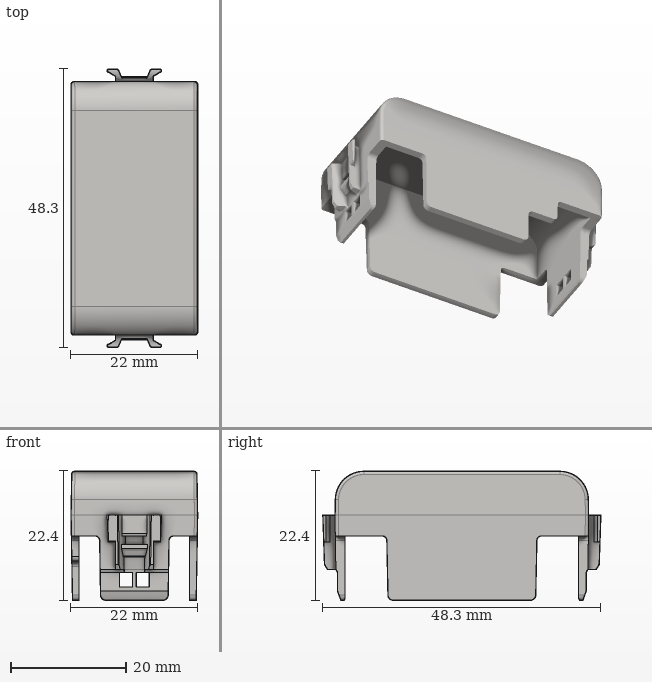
import cadquery as cq
import math

total_height = 22.4
part_length = 48.25
parting_width = 22.0
parting_length = 44.0
parting_z = 14.75
draft_angle = 1.0
end_round = 4.95
edge_round = 0.6

cavity_half_width = 9.55
cavity_half_length = 20.2
roof_thickness = 1.45
cavity_end_round = end_round - roof_thickness

skirt_z = 11.15
root_round = 0.75
tip_round = 0.95
end_leg_root = 6.05
end_leg_tip = 5.9
side_leg_root = 13.05
side_leg_tip = 12.85

notch_y = -7.3
notch_z = 6.85
notch_corner_round = 0.7

step_top_z = 5.3
step_bottom_z = 4.82
low_face_y = 21.55
tip_bevel_z = 1.6
tip_bevel_y = 21.0
tip_inner_bevel = 0.2
tip_inner_bevel_z = 0.4
window_inner_x = 0.35
window_outer_x = 2.55
window_bottom_z = 2.3

clip_front_y = part_length / 2
clip_root_y = 20.75
stem_half = 3.3
stem_shoulder_y = 22.85
wing_half = 4.75
wing_foot_half = 4.55
wing_end_thickness = 0.6
wing_bottom_z = 10.1
wing_bevel = 0.25
stem_foot_y = 23.85
stem_bevel_z = 6.22
stem_toe_y = 23.25

channel_mouth_half = 2.8
mouth_bevel = 0.15
channel_slope = 0.41
pocket_y = 21.05
web_y = 22.6
web_foot_y = 22.45
web_bottom_z = 11.65
web_lip_z = 11.2
shelf_y = 22.8
shelf_top_z = 9.65
shelf_bottom_z = 9.0
shelf_slope_y = 22.6
shelf_slope_z = 8.75
shelf_root_y = 22.0
shelf_root_z = 7.65
low_web_y = 21.7
low_web_z = 7.55

margin = 2.4


def extrude_along_x(outline, x_min, x_max):
    """Extrude (y, z) points between two X positions."""
    return cq.Workplane("YZ", origin=(x_min, 0, 0)).polyline(outline).close().extrude(x_max - x_min)


def box_between(low, high):
    size = [b - a for a, b in zip(low, high)]
    return cq.Workplane("XY").box(*size, centered=False).translate(low)


def leg_prism(plane, root_half, tip_half, depth):
    """Tapered leg with flared roots and rounded tips, centred on the plane."""
    return (
        cq.Workplane(plane)
        .moveTo(0, skirt_z)
        .lineTo(root_half + root_round, skirt_z)
        .radiusArc((root_half, skirt_z - root_round), -root_round)
        .lineTo(tip_half, tip_round)
        .radiusArc((tip_half - tip_round, 0), tip_round)
        .lineTo(0, 0)
        .mirrorY()
        .extrude(depth / 2, both=True)
    )


def make_body():
    parting = cq.Workplane("XY", origin=(0, 0, parting_z))
    cover = parting.rect(parting_width, parting_length)
    cover = cover.extrude(total_height - parting_z, taper=draft_angle)
    cover = cover.faces(">Z").edges("|X").fillet(end_round)
    cover = cover.edges("not(|X or <Z)").fillet(edge_round)
    lower = parting.rect(parting_width, parting_length).extrude(-parting_z, taper=draft_angle)
    lower = lower.edges("not(#Z)").fillet(edge_round)
    return cover.union(lower)


def make_cavity():
    cavity = box_between(
        (-cavity_half_width, -cavity_half_length, -margin),
        (cavity_half_width, cavity_half_length, total_height - roof_thickness),
    )
    return cavity.faces(">Z").edges("|X").fillet(cavity_end_round)


def make_leg_clearance():
    """Everything below the skirt except the four legs."""
    below_skirt = box_between(
        (-parting_width, -parting_length, -margin), (parting_width, parting_length, skirt_z)
    )
    end_legs = leg_prism("XZ", end_leg_root, end_leg_tip, 2 * parting_length)
    side_legs = leg_prism("YZ", side_leg_root, side_leg_tip, 2 * parting_width)
    return below_skirt.cut(end_legs).cut(side_legs)


def make_notch():
    leg_edge_y = -side_leg_root + (side_leg_root - side_leg_tip) * (1 - notch_z / skirt_z)
    return (
        cq.Workplane("YZ", origin=(-parting_width / 2 - margin, 0, 0))
        .moveTo(notch_y + tip_round, 0)
        .radiusArc((notch_y, tip_round), tip_round)
        .lineTo(notch_y, notch_z - tip_round)
        .radiusArc((notch_y - tip_round, notch_z), -tip_round)
        .lineTo(leg_edge_y + notch_corner_round, notch_z)
        .radiusArc((leg_edge_y, notch_z + notch_corner_round), notch_corner_round)
        .lineTo(-side_leg_root - margin, notch_z + notch_corner_round)
        .lineTo(-side_leg_root - margin, -margin)
        .lineTo(notch_y + tip_round, -margin)
        .close()
        .extrude(margin + parting_width / 2)
    )


def make_end_relief():
    """Material removed from the +Y end leg: outer step, tip bevels and the two windows."""
    outside_y = parting_length / 2 + margin
    step_slope = math.tan(math.radians(draft_angle))
    upper_face_y = parting_length / 2 - (parting_z - step_top_z) * step_slope
    relief = extrude_along_x(
        [
            (outside_y, step_top_z),
            (upper_face_y, step_top_z),
            (low_face_y, step_bottom_z),
            (low_face_y, tip_bevel_z),
            (tip_bevel_y, 0),
            (tip_bevel_y, -margin),
            (outside_y, -margin),
        ],
        -parting_width / 2,
        parting_width / 2,
    )
    inner_bevel = extrude_along_x(
        [
            (cavity_half_length, tip_inner_bevel_z),
            (cavity_half_length + tip_inner_bevel, 0),
            (cavity_half_length, 0),
        ],
        -end_leg_root,
        end_leg_root,
    )
    relief = relief.union(inner_bevel)
    for side in (-1, 1):
        near_x, far_x = sorted((side * window_inner_x, side * window_outer_x))
        window = box_between(
            (near_x, cavity_half_length - margin, window_bottom_z), (far_x, outside_y, step_bottom_z)
        )
        relief = relief.union(window)
    return relief


def draw_wings(plane, half):
    """Outline of both wings, with rounded outer ends."""
    end_radius = wing_end_thickness / 2
    return (
        plane.moveTo(0, clip_front_y)
        .lineTo(half - end_radius, clip_front_y)
        .threePointArc(
            (half, clip_front_y - end_radius),
            (half - end_radius, clip_front_y - wing_end_thickness),
        )
        .lineTo(stem_half, stem_shoulder_y)
        .lineTo(0, stem_shoulder_y)
        .mirrorY()
    )


def make_clip_blank():
    """Stem and wings of the +Y clip before the channel is cut."""
    stem = extrude_along_x(
        [
            (clip_root_y, parting_z),
            (clip_front_y, parting_z),
            (stem_foot_y, stem_bevel_z),
            (stem_toe_y, step_top_z),
            (clip_root_y, step_top_z),
        ],
        -stem_half,
        stem_half,
    )
    foot_drop = wing_bottom_z - parting_z
    wings = draw_wings(cq.Workplane("XY", origin=(0, 0, parting_z)), wing_half)
    wings = draw_wings(wings.workplane(offset=foot_drop), wing_foot_half).loft(ruled=True)
    front_draft = (clip_front_y - stem_foot_y) / (parting_z - stem_bevel_z)
    wing_foot_y = clip_front_y - front_draft * (parting_z - wing_bottom_z - wing_bevel)
    wing_limit = extrude_along_x(
        [
            (clip_root_y, parting_z),
            (clip_front_y, parting_z),
            (wing_foot_y, wing_bottom_z + wing_bevel),
            (wing_foot_y - wing_bevel, wing_bottom_z),
            (clip_root_y, wing_bottom_z),
        ],
        -wing_half,
        wing_half,
    )
    return stem.union(wings.intersect(wing_limit))


def make_channel():
    """Space between the clip arms, in front of the web, pocket and shelf."""
    def half_width(y):
        return channel_mouth_half - channel_slope * (clip_front_y - y)

    front_y = clip_front_y + margin
    flare = (
        cq.Workplane("XY", origin=(0, 0, step_bottom_z))
        .polyline(
            [
                (-half_width(front_y), front_y),
                (half_width(front_y), front_y),
                (half_width(pocket_y), pocket_y),
                (-half_width(pocket_y), pocket_y),
            ]
        )
        .close()
        .extrude(parting_z - step_bottom_z)
    )
    depth = extrude_along_x(
        [
            (front_y, parting_z),
            (web_y, parting_z),
            (web_y, web_bottom_z),
            (web_foot_y, web_lip_z),
            (pocket_y, web_lip_z),
            (pocket_y, shelf_top_z),
            (shelf_y, shelf_top_z),
            (shelf_y, shelf_bottom_z),
            (shelf_slope_y, shelf_slope_z),
            (shelf_root_y, shelf_root_z),
            (low_web_y, low_web_z),
            (low_face_y, step_top_z),
            (low_face_y, step_bottom_z),
            (front_y, step_bottom_z),
        ],
        -stem_half - margin,
        stem_half + margin,
    )
    return flare.intersect(depth)


def at_both_ends(shape):
    return shape.union(shape.mirror("XZ"))


def bevel_channel_mouths(part):
    """Break the front inner edges of the arms at both clips."""
    for side in (-1, 1):
        mouth = cq.selectors.BoxSelector(
            (-channel_mouth_half, side * stem_toe_y, stem_bevel_z + margin),
            (channel_mouth_half, side * (clip_front_y + margin), parting_z - margin),
        )
        part = part.edges(mouth).chamfer(mouth_bevel)
    return part


body = make_body().cut(make_cavity()).cut(make_leg_clearance()).cut(make_notch())
body = body.cut(at_both_ends(make_end_relief()))
clip_blanks = at_both_ends(make_clip_blank())
body = body.union(clip_blanks).cut(at_both_ends(make_channel()))
result = bevel_channel_mouths(body).solids()